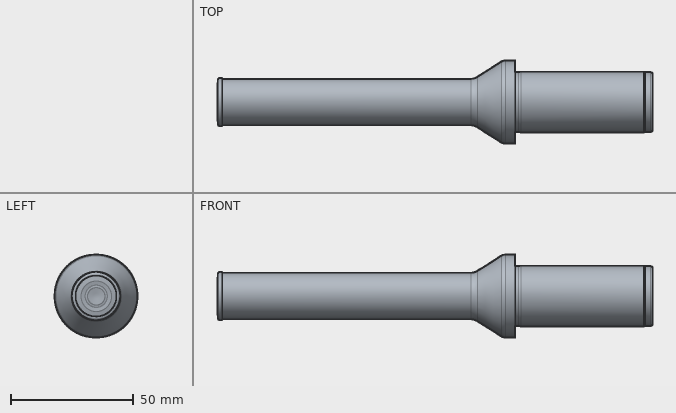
import cadquery as cq

total_length = 178.0
guide_diameter = 19.0
flange_diameter = 34.0
shank_diameter = 25.0
neck_diameter = 24.5

cone_start = 105.0
cone_end = 116.8
flange_end = 121.8
neck_end = 123.0
shank_start = 124.0
shank_end = 174.3
lead_start = 174.8

cone_root_radius = 4.6
flange_edge_radius = 3.0
lead_round = 1.0

cap_thickness = 2.1
cap_back_diameter = 19.4
rim_mid_x = 0.5
rim_mid_diameter = 19.2

face_diameter = 16.7
outer_crest_diameter = 12.5
valley_diameter = 9.0
inner_crest_diameter = 7.1
ripple_slope = 0.12


def revolve_profile(points):
    """Turn a closed outline of (x, radius) points about the X axis."""
    return cq.Workplane("XY").polyline(points).close().revolve(360, (0, 0, 0), (1, 0, 0))


def round_edge(body, x, diameter, radius):
    """Round the circular edge of the given diameter at position x."""
    reach = diameter / 2 + 0.09
    corner = cq.selectors.BoxSelector((x - 0.09, -reach, -reach), (x + 0.09, reach, reach), boundingbox=True)
    return body.edges(corner).fillet(radius)


def make_pillar():
    guide_radius = guide_diameter / 2
    flange_radius = flange_diameter / 2
    shank_radius = shank_diameter / 2
    neck_radius = neck_diameter / 2
    pillar = revolve_profile([
        (cap_thickness, 0),
        (cap_thickness, guide_radius),
        (cone_start, guide_radius),
        (cone_end, flange_radius),
        (flange_end, flange_radius),
        (flange_end, neck_radius),
        (neck_end, neck_radius),
        (shank_start, shank_radius),
        (shank_end, shank_radius),
        (lead_start, neck_radius),
        (total_length, neck_radius),
        (total_length, 0),
    ])
    pillar = round_edge(pillar, cone_start, guide_diameter, cone_root_radius)
    pillar = round_edge(pillar, cone_end, flange_diameter, flange_edge_radius)
    return round_edge(pillar, total_length, neck_diameter, lead_round)


def make_cap():
    face_radius = face_diameter / 2
    outer_crest_radius = outer_crest_diameter / 2
    valley_radius = valley_diameter / 2
    inner_crest_radius = inner_crest_diameter / 2

    face_x = (face_radius - outer_crest_radius) * ripple_slope
    valley_x = (outer_crest_radius - valley_radius) * ripple_slope
    inner_crest_x = valley_x - (valley_radius - inner_crest_radius) * ripple_slope
    centre_x = inner_crest_x + inner_crest_radius * ripple_slope

    profile = (
        cq.Workplane("XY")
        .moveTo(cap_thickness, 0)
        .lineTo(centre_x, 0)
        .lineTo(inner_crest_x, inner_crest_radius)
        .lineTo(valley_x, valley_radius)
        .lineTo(0, outer_crest_radius)
        .lineTo(face_x, face_radius)
        .threePointArc((rim_mid_x, rim_mid_diameter / 2), (cap_thickness, cap_back_diameter / 2))
        .close()
    )
    return profile.revolve(360, (0, 0, 0), (1, 0, 0))


pillar = make_pillar()
cap = make_cap()
result = cq.Compound.makeCompound([pillar.val(), cap.val()])